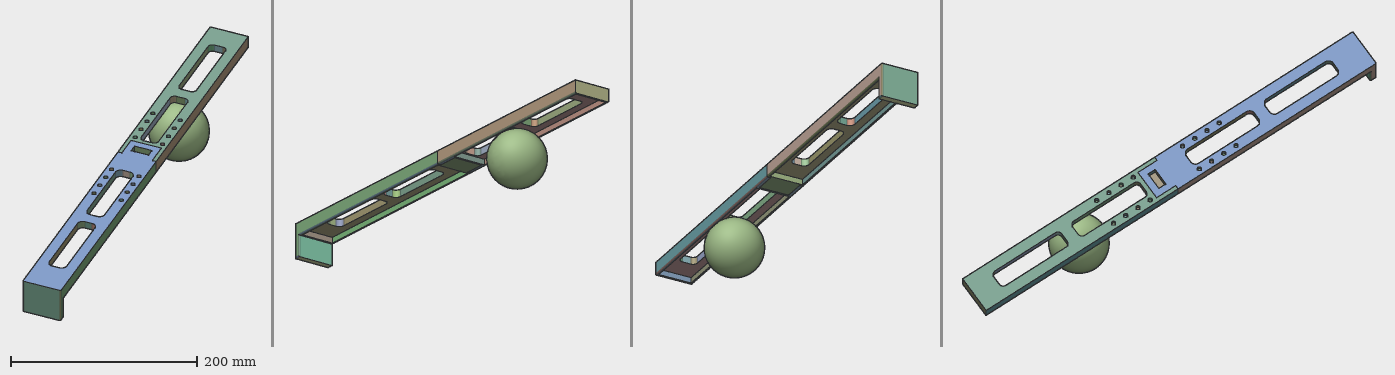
import cadquery as cq

total_length = 508.0
bar_width = 44.5
bar_thickness = 15.0
rear_end = total_length / 2
front_end = -total_length / 2
edge_rounding = 1.25

plate_thickness = 8.5
rim_thickness = 2.5

joint_y = 4.0
tongue_width = 35.5
tongue_length = 25.0
tongue_end = joint_y + tongue_length

slot_width = 20.5
slot_length = 88.5
slot_pitch = 102.5
rear_slot_radius = 5.0
front_slot_radius = 6.0
rear_slot_y = 78.0
front_slot_y = -69.0

window_width = slot_width
window_length = 9.0
window_depth = 7.0
window_y = 16.5

hole_diameter = 4.5
hole_depth = 5.0
holes_per_row = 4
hole_row_length = 48.0
hole_row_spacing = 32.0
hole_pitch = hole_row_length / (holes_per_row - 1)
rear_holes_y = 60.0
front_holes_y = -52.0

lip_thickness = 7.5
lip_height = 40.0

ball_diameter = 65.5
ball_y = 118.0
ball_z = -plate_thickness - ball_diameter / 2


def block(width, y_start, y_end, height):
    """Box centred on X that hangs down from the top face, between two Y positions."""
    return (
        cq.Workplane("XY")
        .box(width, y_end - y_start, height, centered=(True, False, False))
        .translate((0, y_start, -height))
    )


def channel(y_start, y_end):
    """Hollow under the top plate that leaves a rim on all four sides of a stretch of bar."""
    inner_width = bar_width - 2 * rim_thickness
    inner_start = y_start + rim_thickness
    inner_end = y_end - rim_thickness
    channel_depth = bar_thickness - plate_thickness
    return block(inner_width, inner_start, inner_end, channel_depth).translate((0, 0, -plate_thickness))


def slots(inner_y, outward, radius):
    """Two round-cornered slots; the second lies one pitch outward of the first."""
    centres = [(0, inner_y), (0, inner_y + outward * slot_pitch)]
    return (
        cq.Workplane("XY")
        .pushPoints(centres)
        .rect(slot_width, slot_length)
        .extrude(-bar_thickness)
        .edges("|Z")
        .fillet(radius)
    )


def small_holes(row_y):
    """Two rows of blind holes, centred along Y on row_y."""
    return (
        cq.Workplane("XY")
        .center(0, row_y)
        .rarray(hole_row_spacing, hole_pitch, 2, holes_per_row)
        .circle(hole_diameter / 2)
        .extrude(-hole_depth)
    )


def make_tongue():
    return block(tongue_width, joint_y, tongue_end, bar_thickness)


def make_window():
    half_length = window_length / 2
    return block(window_width, window_y - half_length, window_y + half_length, window_depth)


def make_rear_bar():
    bar = block(bar_width, joint_y, rear_end, bar_thickness)
    bar = bar.faces("<X or >X").edges("<Z").fillet(edge_rounding)
    bar = bar.cut(make_tongue())
    bar = bar.cut(channel(tongue_end, rear_end))
    bar = bar.cut(slots(rear_slot_y, 1, rear_slot_radius))
    return bar.cut(small_holes(rear_holes_y))


def make_front_bar():
    bar = block(bar_width, front_end, joint_y, bar_thickness)
    bar = bar.union(block(bar_width, front_end, front_end + lip_thickness, lip_height))
    bar = bar.faces("<X or >X").edges("not (>Z or >Y)").fillet(edge_rounding)
    bar = bar.union(make_tongue())
    bar = bar.cut(channel(front_end + lip_thickness, joint_y))
    bar = bar.cut(slots(front_slot_y, -1, front_slot_radius))
    bar = bar.cut(small_holes(front_holes_y))
    return bar.cut(make_window())


def make_ball():
    return cq.Workplane("XY").sphere(ball_diameter / 2).translate((0, ball_y, ball_z))


rear_bar = make_rear_bar().solids()
front_bar = make_front_bar().solids()
ball = make_ball()

result = cq.Compound.makeCompound([rear_bar.val(), front_bar.val(), ball.val()])